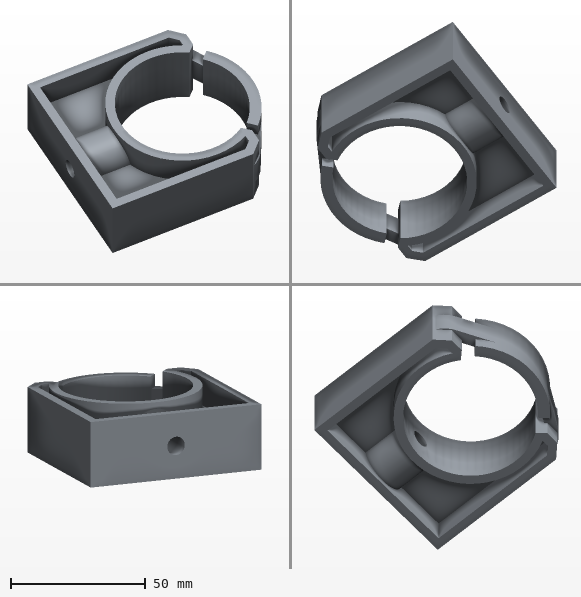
import cadquery as cq
import math

width = 69.0
length = 76.3
height = 25.0
wall = 3.5
web_thickness = 3.5
corner_chamfer = 5.0
body_top = 16.9

bore_radius = 25.0
ring_radius = bore_radius + wall
mouth_tip_x = 20.9
mouth_edge_x = 23.9

boss_diameter = 20.0
screw_diameter = 7.0

cap_radius = 29.45
cap_height = 20.0
cap_half_angle = math.radians(45)
strap_height = 10.0
strap_angle = math.radians(28.6)
strap_bend_x = 28.4
strap_end_x = 33.7
strap_root_x = 24.4

half_width = width / 2
body_bottom = cap_radius - length
mouth_tip_y = math.sqrt(bore_radius**2 - mouth_tip_x**2)


def extrude_centred(profile, thickness):
    return profile.extrude(thickness / 2, both=True)


def body_outline():
    """Rectangle with its two top corners cut at 45 degrees."""
    shoulder_x = half_width - corner_chamfer
    shoulder_y = body_top - corner_chamfer
    return cq.Workplane("XY").polyline([
        (-half_width, body_bottom),
        (half_width, body_bottom),
        (half_width, shoulder_y),
        (shoulder_x, body_top),
        (-shoulder_x, body_top),
        (-half_width, shoulder_y),
    ]).close()


def cylinder(radius, thickness):
    return extrude_centred(cq.Workplane("XY").circle(radius), thickness)


def make_body():
    frame = extrude_centred(body_outline(), height)
    cavity = extrude_centred(body_outline().offset2D(-wall), height)
    web = extrude_centred(body_outline(), web_thickness)
    ring = cylinder(ring_radius, height).intersect(frame)
    boss = (
        cq.Workplane("XZ", origin=(0, body_bottom, 0))
        .circle(boss_diameter / 2)
        .extrude(body_bottom)
    )
    body = frame.cut(cavity).union(web).union(ring).union(boss)

    mouth = cq.Workplane("XY").polyline([
        (0, 0),
        (mouth_tip_x, mouth_tip_y),
        (mouth_edge_x, body_top),
        (-mouth_edge_x, body_top),
        (-mouth_tip_x, mouth_tip_y),
    ]).close()
    screw_hole = (
        cq.Workplane("XZ", origin=(0, body_bottom, 0))
        .circle(screw_diameter / 2)
        .extrude(body_bottom)
    )
    return (
        body.cut(cylinder(bore_radius, height))
        .cut(extrude_centred(mouth, height))
        .cut(screw_hole)
    )


def make_cap():
    """Ring segment closing the top of the bore."""
    reach = 2 * cap_radius
    half_span = reach * math.tan(cap_half_angle)
    sector = cq.Workplane("XY").polyline([
        (0, 0),
        (half_span, reach),
        (-half_span, reach),
    ]).close()
    full_ring = cylinder(cap_radius, cap_height).cut(cylinder(bore_radius, cap_height))
    return full_ring.intersect(extrude_centred(sector, cap_height))


def strap_line_y(radius, x):
    """Height at x of the sloping line tangent to a circle about the bore axis."""
    return radius / math.cos(strap_angle) - x * math.tan(strap_angle)


def make_strap():
    """Right strap, tangent to the cap and bent down onto the body corner."""
    sine = math.sin(strap_angle)
    cosine = math.cos(strap_angle)
    strap_end = (strap_end_x, half_width + body_top - corner_chamfer - strap_end_x)
    profile = (
        cq.Workplane("XY")
        .moveTo(bore_radius * sine, bore_radius * cosine)
        .lineTo(cap_radius * sine, cap_radius * cosine)
        .lineTo(strap_bend_x, strap_line_y(cap_radius, strap_bend_x))
        .tangentArcPoint(strap_end, relative=False)
        .lineTo(strap_root_x, strap_line_y(bore_radius, strap_root_x))
        .close()
    )
    return extrude_centred(profile, strap_height)


strap = make_strap()
result = make_body().union(make_cap()).union(strap).union(strap.mirror("YZ"))